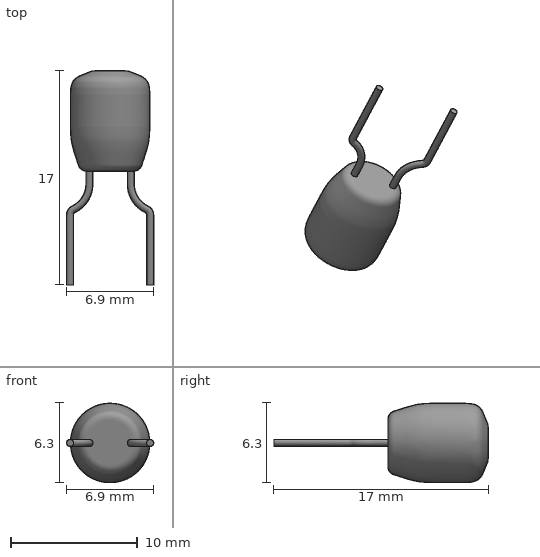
import cadquery as cq
import math


body_length = 7.95
body_diameter = 6.3
body_radius = body_diameter / 2
face_radius = 1.83
rim_radius = 2.53
rim_height = 0.53
taper_end = 3.5
taper_mid_radius = 3.0
taper_mid_height = 2.07
dome_height = 1.9
dome_shoulder = (2.78, 0.66)
dome_crown = (1.75, 0.14)

overall_length = 16.96
overall_width = 6.9
lead_diameter = 0.56
lead_exit_spacing = 3.27
lead_embed = 0.34
bend_start = -1.02
bend_length = 2.45
outer_bend_radius = 0.51

lead_end = body_length - overall_length
exit_x = lead_exit_spacing / 2
tip_x = (overall_width - lead_diameter) / 2
bend_end = bend_start - bend_length

bend_angle = 2 * math.atan((tip_x - exit_x) / bend_length)
inner_bend_radius = bend_length / math.sin(bend_angle) - outer_bend_radius


def make_body():
    """Revolve the barrel profile about the Y axis."""
    rim_width = rim_radius - face_radius
    rim_arc_radius = (rim_width**2 + rim_height**2) / (2 * rim_height)
    rim_half_angle = math.asin(rim_width / rim_arc_radius) / 2
    rim_mid = (
        face_radius + rim_arc_radius * math.sin(rim_half_angle),
        rim_arc_radius * (1 - math.cos(rim_half_angle)),
    )
    taper_direction = (rim_arc_radius - rim_height, rim_width)
    band_end = body_length - dome_height
    dome_points = [(r, body_length - depth) for r, depth in (dome_shoulder, dome_crown)]
    profile = (
        cq.Workplane("XY")
        .lineTo(face_radius, 0)
        .threePointArc(rim_mid, (rim_radius, rim_height))
        .spline(
            [(taper_mid_radius, taper_mid_height), (body_radius, taper_end)],
            tangents=[taper_direction, (0, 1)],
            includeCurrent=True,
        )
        .lineTo(body_radius, band_end)
        .spline(
            dome_points + [(0, body_length)],
            tangents=[(0, 1), (-1, 0)],
            includeCurrent=True,
        )
        .close()
    )
    return profile.revolve(360, (0, 0, 0), (0, 1, 0))


def make_lead(side):
    """Sweep one round lead; side is +1 or -1 along X."""

    def inner_bend_point(angle):
        x = exit_x + inner_bend_radius * (1 - math.cos(angle))
        return (side * x, bend_start - inner_bend_radius * math.sin(angle))

    outer_half_angle = bend_angle / 2
    outer_bend_mid = (
        side * (tip_x - outer_bend_radius * (1 - math.cos(outer_half_angle))),
        bend_end + outer_bend_radius * math.sin(outer_half_angle),
    )
    path = (
        cq.Workplane("XY")
        .moveTo(side * exit_x, lead_embed)
        .lineTo(side * exit_x, bend_start)
        .threePointArc(inner_bend_point(bend_angle / 2), inner_bend_point(bend_angle))
        .threePointArc(outer_bend_mid, (side * tip_x, bend_end))
        .lineTo(side * tip_x, lead_end)
    )
    section = cq.Workplane("XZ", origin=(side * exit_x, lead_embed, 0)).circle(lead_diameter / 2)
    return section.sweep(path)


result = make_body()
for lead_side in (-1, 1):
    result = result.union(make_lead(lead_side))